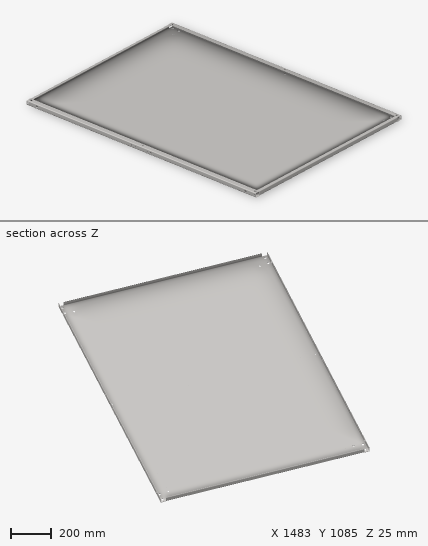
import cadquery as cq

length = 1483.0
width = 1085.0
height = 25.0
sheet = 2.0
bend_radius = 5.0
long_flange = 28.0
short_flange = 16.0

half_length = length / 2
half_width = width / 2
short_side_length = width - 2 * long_flange

corner_hole_diameter = 12.0
corner_hole_inset = 16.0
floor_hole_diameter = 10.0
floor_hole_inset = 61.0
middle_hole_diameter = 9.0
middle_hole_inset = 15.0

hidden_hole_diameter = 12.0
hidden_hole_end_inset = 55.0
hidden_hole_side_inset = 15.0

wall_holes = [
    (half_length - 7.0, 9.0),
    (half_length - 67.0, 13.0),
    (62.0, 9.0),
    (39.0, 6.0),
]


def folded_sides(plane, span, run, flange):
    """Floor with two opposite walls and flanges; span is across the profile, run is along the bends."""
    bends = "|X" if plane == "YZ" else "|Y"
    outside = cq.Workplane(plane).rect(span, height).extrude(run / 2, both=True)
    outside = outside.edges(bends).fillet(bend_radius)
    inside = cq.Workplane(plane).rect(span - 2 * sheet, height - 2 * sheet).extrude(run / 2, both=True)
    inside = inside.edges(bends).fillet(bend_radius - sheet)
    opening = cq.Workplane(plane).center(0, sheet).rect(span - 2 * flange, height).extrude(run / 2, both=True)
    return outside.cut(inside).cut(opening)


def mirrored(x, y):
    return [(side_x * x, side_y * y) for side_x in (-1, 1) for side_y in (-1, 1)]


def upright_holes(points, diameter):
    return cq.Workplane("XY").pushPoints(points).circle(diameter / 2).extrude(height, both=True)


long_sides = folded_sides("YZ", width, length, long_flange)
short_sides = folded_sides("XZ", length, short_side_length, short_flange)
floor_length = length - 2 * short_flange
end_strips = cq.Workplane("XY").box(length, short_side_length, height)
end_strips = end_strips.cut(cq.Workplane("XY").box(floor_length, short_side_length, height))
tray = long_sides.cut(end_strips).union(short_sides)

corner_points = mirrored(half_length - corner_hole_inset, half_width - corner_hole_inset)
tray = tray.cut(upright_holes(corner_points, corner_hole_diameter))
floor_points = mirrored(half_length - floor_hole_inset, half_width - floor_hole_inset)
tray = tray.cut(upright_holes(floor_points, floor_hole_diameter))
middle_hole_y = half_width - middle_hole_inset
tray = tray.cut(upright_holes([(0, -middle_hole_y), (0, middle_hole_y)], middle_hole_diameter))

hidden_points = mirrored(half_length - hidden_hole_end_inset, half_width - hidden_hole_side_inset)
hidden_holes = (
    cq.Workplane("XY", origin=(0, 0, -height / 2))
    .pushPoints(hidden_points)
    .circle(hidden_hole_diameter / 2)
    .extrude(sheet)
)
tray = tray.cut(hidden_holes)

for distance, diameter in wall_holes:
    drill = cq.Workplane("XZ").pushPoints([(-distance, 0), (distance, 0)]).circle(diameter / 2)
    tray = tray.cut(drill.extrude(width, both=True))

result = tray